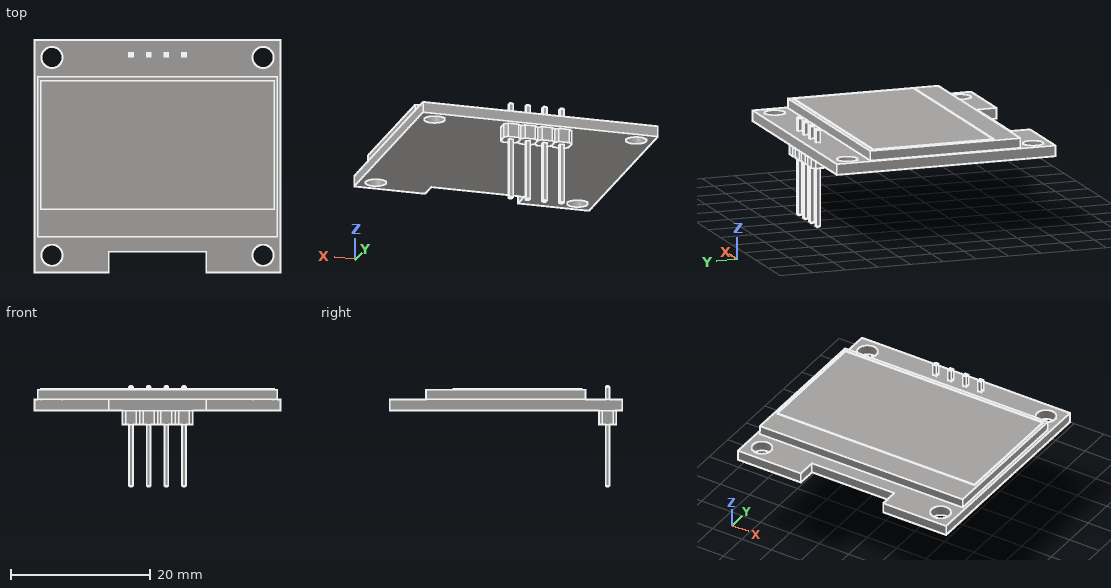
import cadquery as cq

BOARD_LENGTH = 35.4
BOARD_WIDTH = 33.5
BOARD_THICKNESS = 1.6
NOTCH_LENGTH = 14.0
NOTCH_DEPTH = 3.0
HOLE_DIAMETER = 3.0
HOLE_INSET = 2.5

GLASS_LENGTH = 34.48
GLASS_WIDTH = 23.0
GLASS_THICKNESS = 1.4
GLASS_BACK_INSET = 5.27
ACTIVE_LENGTH = 33.6
ACTIVE_WIDTH = 18.48
ACTIVE_THICKNESS = 0.1
ACTIVE_BACK_INSET = 0.6

PIN_COUNT = 4
PIN_PITCH = 2.55
PIN_BACK_INSET = 2.12
PIN_SIDE = 0.6
PIN_TIP_CHAMFER = 0.18
PIN_RISE = 1.95
PIN_TOTAL_LENGTH = 14.5
BLOCK_HEIGHT = 2.02
BLOCK_CHAMFER = 0.5

PIN_Y = BOARD_WIDTH / 2 - PIN_BACK_INSET
PIN_TOP = BOARD_THICKNESS + PIN_RISE
PIN_XS = [PIN_PITCH * (i - (PIN_COUNT - 1) / 2) for i in range(PIN_COUNT)]


def plate(length, width, thickness, back_y, bottom_z):
    """Rectangular plate centred in X, with its back edge at back_y."""
    return (
        cq.Workplane("XY")
        .box(length, width, thickness, centered=(True, True, False))
        .translate((0, back_y - width / 2, bottom_z))
    )


def make_display_board():
    back_y = BOARD_WIDTH / 2
    board = plate(BOARD_LENGTH, BOARD_WIDTH, BOARD_THICKNESS, back_y, 0)

    notch = plate(NOTCH_LENGTH, NOTCH_DEPTH, BOARD_THICKNESS, NOTCH_DEPTH - back_y, 0)
    board = board.cut(notch)

    board = (
        board.faces(">Z")
        .workplane(origin=(0, 0, 0))
        .rect(BOARD_LENGTH - 2 * HOLE_INSET, BOARD_WIDTH - 2 * HOLE_INSET, forConstruction=True)
        .vertices()
        .hole(HOLE_DIAMETER)
    )

    pin_holes = (
        cq.Workplane("XY")
        .pushPoints([(x, PIN_Y) for x in PIN_XS])
        .rect(PIN_SIDE, PIN_SIDE)
        .extrude(BOARD_THICKNESS)
    )
    board = board.cut(pin_holes)

    glass_back = back_y - GLASS_BACK_INSET
    glass_top = BOARD_THICKNESS + GLASS_THICKNESS
    active_back = glass_back - ACTIVE_BACK_INSET
    glass = plate(GLASS_LENGTH, GLASS_WIDTH, GLASS_THICKNESS, glass_back, BOARD_THICKNESS)
    active = plate(ACTIVE_LENGTH, ACTIVE_WIDTH, ACTIVE_THICKNESS, active_back, glass_top)
    return board.union(glass).union(active)


def make_header_unit(x):
    block = (
        cq.Workplane("XY")
        .box(PIN_PITCH, PIN_PITCH, BLOCK_HEIGHT, centered=(True, True, False))
        .edges("|Z")
        .chamfer(BLOCK_CHAMFER)
        .translate((0, 0, -BLOCK_HEIGHT))
    )
    pin = (
        cq.Workplane("XY")
        .box(PIN_SIDE, PIN_SIDE, PIN_TOTAL_LENGTH, centered=(True, True, False))
        .faces("<Z or >Z")
        .chamfer(PIN_TIP_CHAMFER)
        .translate((0, 0, PIN_TOP - PIN_TOTAL_LENGTH))
    )
    return block.union(pin).translate((x, PIN_Y, 0))


display_board = make_display_board()
header_units = [make_header_unit(x) for x in PIN_XS]

result = cq.Compound.makeCompound([display_board.val(), *[unit.val() for unit in header_units]])